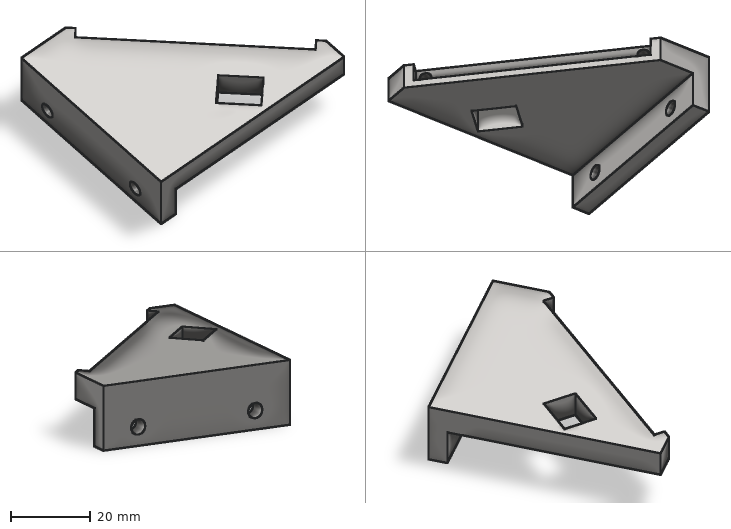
import cadquery as cq
import math

slope_length = 66.0
left_side = 15.0
back_side = 7.0
slope_run = slope_length / math.sqrt(2)
width = slope_run + back_side
depth = slope_run + left_side
plate_thickness = 7.0

flange_height = 10.0
flange_thickness = 5.0
flange_hole_diameter = 4.0
flange_hole_inset = 10.0

recess_end_margin = 2.5
recess_length = slope_length - 2 * recess_end_margin
recess_width = 3.0
recess_depth = 5.0

screw_hole_diameter = 3.0
screw_hole_inset = 5.0
screw_hole_depth = 8.0

window_along = 11.5
window_across = 9.0
window_position = 45.25
window_setback = 17.5

slope_frame = cq.Plane(
    origin=(0, left_side, plate_thickness), xDir=(1, 1, 0), normal=(0, 0, -1)
)
wall_frame = cq.Plane(
    origin=(0, left_side, plate_thickness), xDir=(1, 1, 0), normal=(1, -1, 0)
)


def make_plate():
    outline = [
        (0, 0),
        (width, 0),
        (width, depth),
        (slope_run, depth),
        (0, left_side),
    ]
    return cq.Workplane("XY").polyline(outline).close().extrude(plate_thickness)


def make_flange():
    flange = cq.Workplane("XY").box(width, flange_thickness, flange_height, centered=False)
    flange = flange.translate((0, 0, -flange_height))
    hole_places = [
        (flange_hole_inset, -flange_height / 2),
        (width - flange_hole_inset, -flange_height / 2),
    ]
    holes = (
        cq.Workplane("XZ")
        .pushPoints(hole_places)
        .circle(flange_hole_diameter / 2)
        .extrude(-flange_thickness)
    )
    return flange.cut(holes)


def make_recess():
    return (
        cq.Workplane(slope_frame)
        .center(slope_length / 2, 0)
        .rect(recess_length, 2 * recess_width)
        .extrude(recess_depth)
    )


def make_screw_holes():
    hole_height = -recess_depth / 2
    hole_places = [
        (screw_hole_inset, hole_height),
        (slope_length - screw_hole_inset, hole_height),
    ]
    return (
        cq.Workplane(wall_frame)
        .pushPoints(hole_places)
        .circle(screw_hole_diameter / 2)
        .extrude(recess_width + screw_hole_depth)
    )


def make_window():
    return (
        cq.Workplane(slope_frame)
        .center(window_position, window_setback)
        .rect(window_along, window_across)
        .extrude(plate_thickness)
    )


result = (
    make_plate()
    .union(make_flange())
    .cut(make_recess())
    .cut(make_screw_holes())
    .cut(make_window())
)